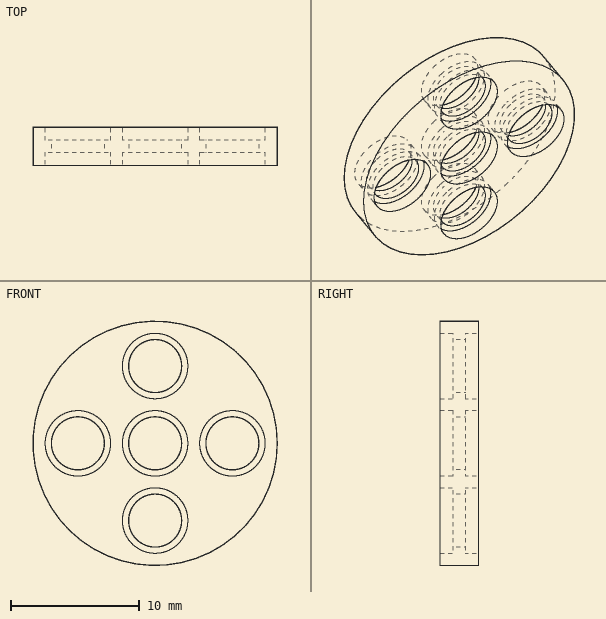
import cadquery as cq

disc_diameter = 19.0
disc_thickness = 3.0

hole_diameter = 4.1
counterbore_diameter = 5.1
counterbore_depth = 1.0
hole_offset = 6.0

hole_centres = [
    (0, 0),
    (hole_offset, 0),
    (-hole_offset, 0),
    (0, hole_offset),
    (0, -hole_offset),
]


def cylinders(diameter, front_y, length, centres):
    """Cylinders along Y that start at front_y and run toward +Y."""
    plane = cq.Workplane("XZ", origin=(0, front_y, 0))
    return plane.pushPoints(centres).circle(diameter / 2).extrude(-length)


front_face_y = -disc_thickness / 2
back_counterbore_y = disc_thickness / 2 - counterbore_depth

disc = cylinders(disc_diameter, front_face_y, disc_thickness, [(0, 0)])
holes = cylinders(hole_diameter, front_face_y, disc_thickness, hole_centres)
front_counterbores = cylinders(counterbore_diameter, front_face_y, counterbore_depth, hole_centres)
back_counterbores = cylinders(counterbore_diameter, back_counterbore_y, counterbore_depth, hole_centres)

result = disc.cut(holes).cut(front_counterbores).cut(back_counterbores)